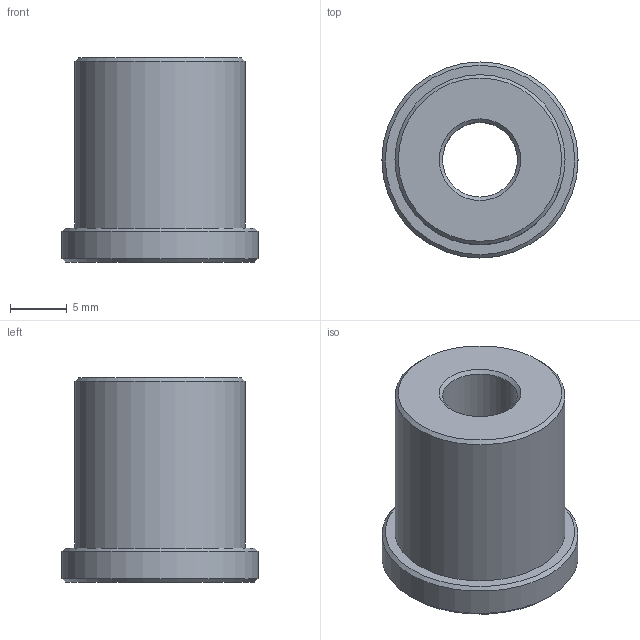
import cadquery as cq

total_height = 18.0
flange_diameter = 17.3
flange_height = 3.0
body_diameter = 15.0
bore_diameter = 6.6
edge_chamfer = 0.3


def make_flange():
    """Disc with both outer rims chamfered."""
    disc = cq.Workplane("XY").circle(flange_diameter / 2).extrude(flange_height)
    return disc.edges().chamfer(edge_chamfer)


def make_body():
    """Full-height cylinder with its top rim chamfered."""
    cylinder = cq.Workplane("XY").circle(body_diameter / 2).extrude(total_height)
    return cylinder.faces(">Z").edges().chamfer(edge_chamfer)


def cut_bore(bushing):
    """Through bore with a chamfered mouth at the top."""
    bored = bushing.faces(">Z").workplane().hole(bore_diameter)
    smallest_circle = cq.selectors.RadiusNthSelector(0)
    bore_mouth = bored.faces(">Z").edges(smallest_circle)
    return bore_mouth.chamfer(edge_chamfer)


result = cut_bore(make_flange().union(make_body()))